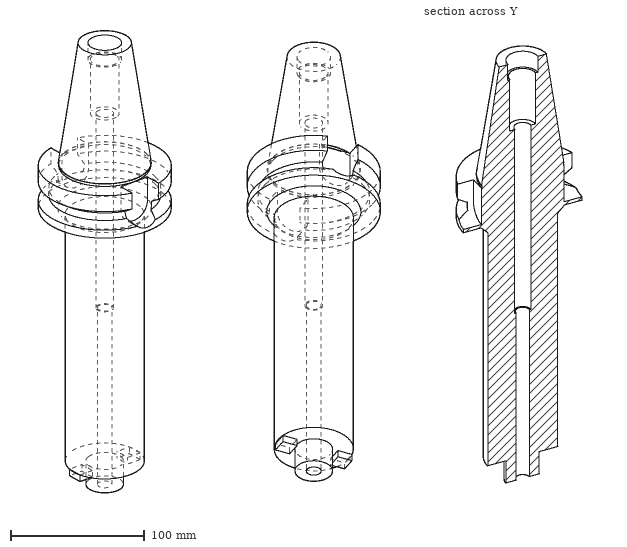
import cadquery as cq

length = 371.8

taper_length = 101.0
taper_top_radius = 20.0
taper_base_radius = 35.0
relief_radius = 34.5

flange_radius = 50.0
flange_top_depth = 103.5
upper_rim_depth = 116.7
groove_start_depth = 122.0
groove_end_depth = 128.3
lower_rim_depth = 132.5
flange_bottom_depth = 139.0
groove_radius = 42.0

body_radius = 29.7
collar_height = 5.5
collar_radius = body_radius + collar_height
pilot_radius = 14.0
pilot_length = 19.7

slot_width = 25.5
slot_floor_radius = 35.0
slot_bottom_depth = 135.7

key_width = 12.5
key_height = 5.5
key_inner_radius = 17.0
key_outer_radius = 29.0

mouth_radius = 12.5
mouth_depth = 14.0
thread_radius = 10.8
thread_depth = 59.5
coolant_radius = 6.7
coolant_depth = 223.0
through_radius = 5.5


def turned_body():
    """Revolve the half outline of the holder about Z."""
    outline = [
        (0, length),
        (taper_top_radius, length),
        (taper_base_radius, length - taper_length),
        (relief_radius, length - taper_length),
        (relief_radius, length - flange_top_depth),
        (flange_radius, length - flange_top_depth),
        (flange_radius, length - upper_rim_depth),
        (groove_radius, length - groove_start_depth),
        (groove_radius, length - groove_end_depth),
        (flange_radius, length - lower_rim_depth),
        (flange_radius, length - flange_bottom_depth),
        (collar_radius, length - flange_bottom_depth),
        (body_radius, length - flange_bottom_depth - collar_height),
        (body_radius, pilot_length),
        (pilot_radius, pilot_length),
        (pilot_radius, 0),
        (0, 0),
    ]
    return cq.Workplane("XZ").polyline(outline).close().revolve(360, (0, 0), (0, 1))


def drive_slot(side):
    """Round-bottomed slot open to the flange top; side is +1 or -1 along X."""
    half_width = slot_width / 2
    top = length - flange_top_depth
    bottom = length - slot_bottom_depth
    return (
        cq.Workplane("YZ", origin=(side * slot_floor_radius, 0, 0))
        .moveTo(-half_width, top)
        .lineTo(-half_width, bottom + half_width)
        .threePointArc((0, bottom), (half_width, bottom + half_width))
        .lineTo(half_width, top)
        .close()
        .extrude(side * flange_radius)
    )


def drive_key(side):
    """Rectangular key under the body; side is +1 or -1 along Y."""
    key_length = key_outer_radius - key_inner_radius
    key_center = side * (key_outer_radius + key_inner_radius) / 2
    return (
        cq.Workplane("XY", origin=(0, key_center, pilot_length - key_height))
        .rect(key_width, key_length)
        .extrude(key_height)
    )


def bore(radius, depth):
    """Round cutter going down from the top end."""
    return cq.Workplane("XY", origin=(0, 0, length)).circle(radius).extrude(-depth)


result = turned_body()
for side in (1, -1):
    result = result.cut(drive_slot(side)).union(drive_key(side))
for radius, depth in (
    (mouth_radius, mouth_depth),
    (thread_radius, thread_depth),
    (coolant_radius, coolant_depth),
    (through_radius, length),
):
    result = result.cut(bore(radius, depth))